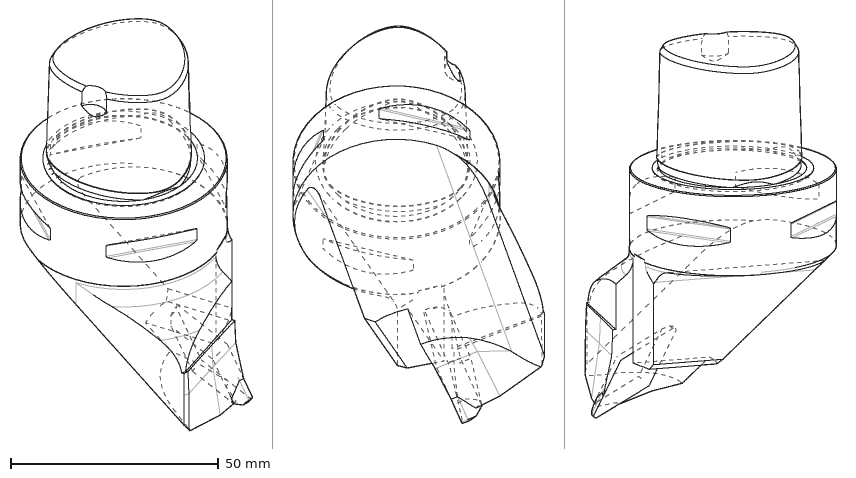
import cadquery as cq
import math


SHANK_TOP = 30.0
SHANK_BOTTOM = 2.0
SHANK_BASE_RADIUS = 17.55
SHANK_TAPER = 1 / 35
LOBE_HEIGHT = 1.2
LOBE_STEPS = 48
TOP_BEVEL_HEIGHT = 1.4
TOP_FACE_RADIUS = 15.9

NECK_RADIUS = 17.4
NECK_LOBE_LIMIT = 17.8
NECK_CONE_RADIUS = 18.8
GROOVE_OUTER_RADIUS = 19.5
GROOVE_DEPTH = 0.7

NOTCH_RADIUS = 4.0
NOTCH_AXIS_Y = -17.55
NOTCH_SHOULDER_Z = 24.4
NOTCH_POINT_HEIGHT = 3.3

FLANGE_RADIUS = 25.0
FLANGE_CHAMFER = 0.3
FLANGE_BOTTOM = -19.4
SLOT_FLOOR_DISTANCE = 22.2
SLOT_MOUTH_DISTANCE = 25.9
SLOT_CENTRE_Z = -9.9
SLOT_FLOOR_HALF_HEIGHT = 1.8
SLOT_WALL_ANGLE = 30.0
SLOT_FLOOR_FILLET = 0.45

HEAD_RADIUS = 25.1
HEAD_TOP = -20.1
NECKING_TOP = -21.0
NECKING_RADIUS = 10.0 / 2
CONE_FALL_ANGLE = 39.0
CONE_BOTTOM = -30.6
SHOULDER_RADIUS = 11.25

HEAD_FRONT_Y = -HEAD_RADIUS
HEAD_SIDE_X = 29.4
HEAD_FLOOR = -51.3
UNDERSIDE_RUN = 37.6
UNDERSIDE_DROP = 33.5
UNDERSIDE_REACH = 1.5
FLAT_TANGENT_ANGLE = 50.0
FAR = 72.0

BACK_Y = 11.8
BACK_FLOOR = -46.2
BACK_FLOOR_ROOT = -47.0
BACK_CHAMFER_WIDTH = 2.5
BACK_CHAMFER_HEIGHT = 1.8
BACK_FILLET = 2.9
BACK_TOP_Z = -20.9
POCKET_WALL_X = 25.1
POCKET_WALL_LEAN = 1.7

INSERT_REACH_X = 35.0
INSERT_REACH_Z = -60.0
INSERT_EDGE = 16.6
INSERT_ANGLE = 35.0
INSERT_SIDE_TILT = 117.0
INSERT_NOSE_RADIUS = 0.5
INSERT_LAND = 1.8
INSERT_THICKNESS = 6.1
INSERT_CLEARANCE = 14.0

NOSE_TOP = -38.25
NOSE_BEND_Z = -44.7
NOSE_INNER_X = 9.9
NOSE_INNER_FLOOR = -52.6
NOSE_SECTIONS = [
    (0.0, 30.2, 30.5, (33.5, -58.6), (20.3, -54.4)),
    (-11.5, 30.0, 30.2, (32.2, -58.4), (20.3, -54.0)),
    (-23.9, 29.9, 30.15, (30.2, -55.9), (25.2, -55.1)),
    (HEAD_FRONT_Y, 29.4, 29.4, (29.4, -55.4), (25.2, -54.9)),
]


def lobed_wire(mean_radius, z):
    """Constant-width profile with one lobe toward +Y."""
    points = []
    for step in range(LOBE_STEPS):
        angle = 2 * math.pi * step / LOBE_STEPS
        support = mean_radius - LOBE_HEIGHT * math.sin(3 * angle)
        slope = -3 * LOBE_HEIGHT * math.cos(3 * angle)
        x = support * math.cos(angle) - slope * math.sin(angle)
        y = support * math.sin(angle) + slope * math.cos(angle)
        points.append(cq.Vector(x, y, z))
    return cq.Wire.assembleEdges([cq.Edge.makeSpline(points, periodic=True)])


def lobed_solid(radius_low, z_low, radius_high, z_high):
    sections = [lobed_wire(radius_low, z_low), lobed_wire(radius_high, z_high)]
    return cq.Workplane(cq.Solid.makeLoft(sections, True))


def make_shank():
    bevel_z = SHANK_TOP - TOP_BEVEL_HEIGHT
    bevel_radius = SHANK_BASE_RADIUS - SHANK_TAPER * (bevel_z - SHANK_BOTTOM)
    taper = lobed_solid(SHANK_BASE_RADIUS, SHANK_BOTTOM, bevel_radius, bevel_z)
    bevel = lobed_solid(bevel_radius, bevel_z, TOP_FACE_RADIUS, SHANK_TOP)
    neck = lobed_solid(NECK_RADIUS, -GROOVE_DEPTH, NECK_RADIUS, SHANK_BOTTOM)
    turned = (
        cq.Workplane("XZ")
        .moveTo(0, -GROOVE_DEPTH)
        .lineTo(NECK_LOBE_LIMIT, -GROOVE_DEPTH)
        .lineTo(NECK_LOBE_LIMIT, 0)
        .lineTo(NECK_CONE_RADIUS, SHANK_BOTTOM)
        .lineTo(0, SHANK_BOTTOM)
        .close()
        .revolve(360, (0, 0, 0), (0, 1, 0))
    )
    return taper.union(bevel).union(neck.intersect(turned)).cut(make_notch())


def make_notch():
    return (
        cq.Workplane("XZ")
        .moveTo(0, NOTCH_SHOULDER_Z - NOTCH_POINT_HEIGHT)
        .lineTo(NOTCH_RADIUS, NOTCH_SHOULDER_Z)
        .lineTo(NOTCH_RADIUS, FAR)
        .lineTo(0, FAR)
        .close()
        .revolve(360, (0, 0, 0), (0, 1, 0))
        .translate((0, NOTCH_AXIS_Y, 0))
    )


def make_flange():
    flange = (
        cq.Workplane("XY").workplane(offset=FLANGE_BOTTOM).circle(FLANGE_RADIUS).extrude(-FLANGE_BOTTOM)
        .faces(">Z").edges().chamfer(FLANGE_CHAMFER)
    )
    groove = (
        cq.Workplane("XZ")
        .moveTo(NECK_LOBE_LIMIT, 0)
        .threePointArc(((NECK_LOBE_LIMIT + GROOVE_OUTER_RADIUS) / 2, -GROOVE_DEPTH), (GROOVE_OUTER_RADIUS, 0))
        .close()
        .revolve(360, (0, 0, 0), (0, 1, 0))
    )
    flange = flange.cut(groove)
    for quarter in range(4):
        flange = flange.cut(make_slot(45 + 90 * quarter))
    return flange


def make_slot(direction):
    """Straight slot with a flat floor and sloping walls, square to a radius."""
    depth = SLOT_MOUTH_DISTANCE - SLOT_FLOOR_DISTANCE
    mouth_half = SLOT_FLOOR_HALF_HEIGHT + depth * math.tan(math.radians(SLOT_WALL_ANGLE))
    return (
        cq.Workplane("XZ")
        .polyline([
            (SLOT_FLOOR_DISTANCE, SLOT_CENTRE_Z - SLOT_FLOOR_HALF_HEIGHT),
            (SLOT_MOUTH_DISTANCE, SLOT_CENTRE_Z - mouth_half),
            (SLOT_MOUTH_DISTANCE, SLOT_CENTRE_Z + mouth_half),
            (SLOT_FLOOR_DISTANCE, SLOT_CENTRE_Z + SLOT_FLOOR_HALF_HEIGHT),
        ])
        .close()
        .extrude(FLANGE_RADIUS, both=True)
        .faces("<X").edges("|Y").fillet(SLOT_FLOOR_FILLET)
        .rotate((0, 0, 0), (0, 0, 1), direction)
    )


def make_turned_head():
    """Round head: concave fillet, cone and convex shoulder below the flange."""
    fall = math.radians(CONE_FALL_ANGLE)
    half = fall + (math.pi / 2 - fall) / 2
    fillet_centre = HEAD_RADIUS + NECKING_RADIUS
    cone_top_r = fillet_centre - NECKING_RADIUS * math.sin(fall)
    cone_top_z = NECKING_TOP - NECKING_RADIUS * math.cos(fall)
    cone_bottom_r = cone_top_r + (cone_top_z - CONE_BOTTOM) / math.tan(fall)
    shoulder_centre_r = cone_bottom_r - SHOULDER_RADIUS * math.sin(fall)
    shoulder_centre_z = CONE_BOTTOM - SHOULDER_RADIUS * math.cos(fall)
    return (
        cq.Workplane("XZ")
        .moveTo(0, FLANGE_BOTTOM)
        .lineTo(FLANGE_RADIUS, FLANGE_BOTTOM)
        .lineTo(FLANGE_RADIUS, HEAD_TOP)
        .lineTo(HEAD_RADIUS, HEAD_TOP)
        .lineTo(HEAD_RADIUS, NECKING_TOP)
        .threePointArc(
            (fillet_centre - NECKING_RADIUS * math.sin(half), NECKING_TOP - NECKING_RADIUS * math.cos(half)),
            (cone_top_r, cone_top_z),
        )
        .lineTo(cone_bottom_r, CONE_BOTTOM)
        .threePointArc(
            (shoulder_centre_r + SHOULDER_RADIUS * math.sin(half),
             shoulder_centre_z + SHOULDER_RADIUS * math.cos(half)),
            (shoulder_centre_r + SHOULDER_RADIUS, shoulder_centre_z),
        )
        .lineTo(shoulder_centre_r + SHOULDER_RADIUS, HEAD_FLOOR)
        .lineTo(0, HEAD_FLOOR)
        .close()
        .revolve(360, (0, 0, 0), (0, 1, 0))
    )


def make_underside_envelope():
    """Flange outline with a tangent flat, swept along the slope of the underside."""
    tangent = math.radians(FLAT_TANGENT_ANGLE)
    tangent_x = -FLANGE_RADIUS * math.cos(tangent)
    tangent_y = -FLANGE_RADIUS * math.sin(tangent)
    flat_end_x = tangent_x + (tangent_y - HEAD_FRONT_Y) * math.tan(tangent)
    outline = (
        cq.Workplane("XY").workplane(offset=FLANGE_BOTTOM)
        .moveTo(0, FLANGE_RADIUS)
        .threePointArc((-FLANGE_RADIUS, 0), (tangent_x, tangent_y))
        .lineTo(flat_end_x, HEAD_FRONT_Y)
        .lineTo(FAR, HEAD_FRONT_Y)
        .lineTo(FAR, FLANGE_RADIUS)
        .close()
        .val()
    )
    sweep = cq.Vector(UNDERSIDE_RUN, 0, -UNDERSIDE_DROP) * UNDERSIDE_REACH
    return cq.Workplane(cq.Solid.extrudeLinear(outline, [], sweep))


def make_side_limit():
    """Plan outline of the head: round on the left, front flat, side flat and chip pocket wall."""
    pocket_back_x = POCKET_WALL_X - POCKET_WALL_LEAN
    return (
        cq.Workplane("XY")
        .moveTo(0, HEAD_RADIUS)
        .threePointArc((-HEAD_RADIUS, 0), (0, HEAD_FRONT_Y))
        .lineTo(HEAD_SIDE_X, HEAD_FRONT_Y)
        .lineTo(HEAD_SIDE_X, 0)
        .lineTo(POCKET_WALL_X, 0)
        .lineTo(pocket_back_x, BACK_Y)
        .lineTo(pocket_back_x, HEAD_RADIUS)
        .close()
        .extrude(-FAR)
    )


def make_back_limit():
    """Profile, drawn in Y and Z, that leaves the backing wall behind the rake plane."""
    fillet_mid = BACK_FILLET * (1 - math.sqrt(0.5))
    return (
        cq.Workplane("YZ")
        .moveTo(-FAR, 0)
        .lineTo(FLANGE_RADIUS, 0)
        .lineTo(FLANGE_RADIUS, HEAD_TOP)
        .lineTo(BACK_Y + BACK_FILLET, BACK_TOP_Z)
        .threePointArc((BACK_Y + fillet_mid, BACK_TOP_Z - fillet_mid), (BACK_Y, BACK_TOP_Z - BACK_FILLET))
        .lineTo(BACK_Y, BACK_FLOOR + BACK_CHAMFER_HEIGHT)
        .lineTo(BACK_Y - BACK_CHAMFER_WIDTH, BACK_FLOOR)
        .lineTo(0, BACK_FLOOR_ROOT)
        .lineTo(0, -FAR)
        .lineTo(-FAR, -FAR)
        .close()
        .extrude(FAR, both=True)
    )


def nose_wire(y, top_x, bend_x, tip, underside):
    corners = [
        (NOSE_INNER_X, NOSE_TOP),
        (top_x, NOSE_TOP),
        (bend_x, NOSE_BEND_Z),
        tip,
        underside,
        (NOSE_INNER_X, NOSE_INNER_FLOOR),
    ]
    return cq.Wire.makePolygon([cq.Vector(x, y, z) for x, z in corners], close=True)


def make_nose():
    wires = [nose_wire(*section) for section in NOSE_SECTIONS]
    return cq.Workplane(cq.Solid.makeLoft(wires, True))


def make_head():
    envelope = make_underside_envelope()
    head = make_turned_head().intersect(make_side_limit()).intersect(make_back_limit())
    return head.union(make_nose()).intersect(envelope)


def make_insert():
    """Rhombic insert with a straight land and a relieved lower part."""
    side = math.radians(INSERT_SIDE_TILT)
    end = math.radians(INSERT_SIDE_TILT + INSERT_ANGLE)
    bisector = (side + end) / 2
    corner_setback = INSERT_NOSE_RADIUS / math.sin(math.radians(INSERT_ANGLE / 2))
    tip_x = INSERT_REACH_X - INSERT_NOSE_RADIUS - corner_setback * math.cos(bisector)
    tip_z = INSERT_REACH_Z + INSERT_NOSE_RADIUS - corner_setback * math.sin(bisector)
    side_step = (INSERT_EDGE * math.cos(side), INSERT_EDGE * math.sin(side))
    end_step = (INSERT_EDGE * math.cos(end), INSERT_EDGE * math.sin(end))
    rhombus = (
        cq.Sketch()
        .polygon([
            (tip_x, tip_z),
            (tip_x + side_step[0], tip_z + side_step[1]),
            (tip_x + side_step[0] + end_step[0], tip_z + side_step[1] + end_step[1]),
            (tip_x + end_step[0], tip_z + end_step[1]),
            (tip_x, tip_z),
        ])
        .vertices()
        .fillet(INSERT_NOSE_RADIUS)
    )
    land = cq.Workplane("XZ").placeSketch(rhombus).extrude(INSERT_LAND)
    relieved = (
        cq.Workplane("XZ", origin=(0, -INSERT_LAND, 0))
        .placeSketch(rhombus)
        .extrude(INSERT_THICKNESS - INSERT_LAND, taper=INSERT_CLEARANCE)
    )
    return land.union(relieved)


insert = make_insert()
holder = make_flange().union(make_shank()).union(make_head()).cut(insert)

result = cq.Compound.makeCompound([holder.val(), insert.val()])